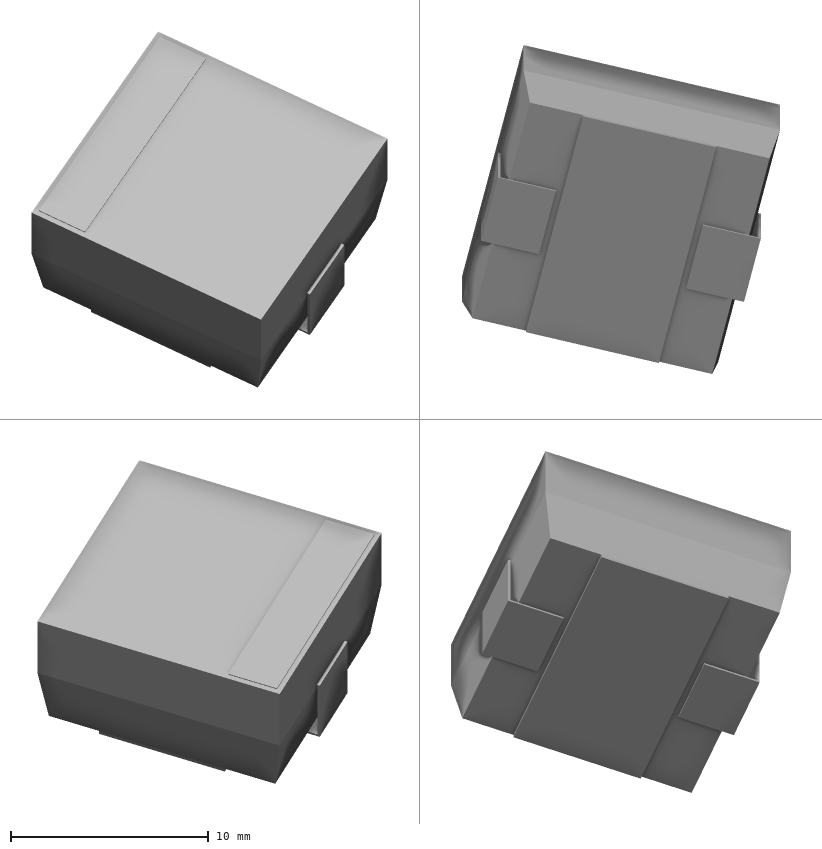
import cadquery as cq

overall_length = 13.69
body_width = 12.9
overall_height = 7.06

body_length = 13.36
marker_height = 0.05
body_top = overall_height - marker_height
parting_height = 3.41
foot_height = 0.2
taper_inset = 0.44
foot_length = 6.93
bottom_length = body_length - 2 * taper_inset
bottom_width = body_width - 2 * taper_inset

marker_length = 2.68
marker_width = 12.35
marker_edge_gap = 0.27

lead_thickness = 0.12
lead_width = 3.52
lead_height = 3.57
lead_end_x = 3.83


def make_body():
    upper_block = cq.Workplane("XY").workplane(offset=parting_height).rect(body_length, body_width)
    upper_block = upper_block.extrude(body_top - parting_height)
    lower_block = cq.Workplane("XY").workplane(offset=foot_height).rect(bottom_length, bottom_width)
    lower_block = lower_block.workplane(offset=parting_height - foot_height).rect(body_length, body_width)
    lower_block = lower_block.loft(ruled=True)
    foot = cq.Workplane("XY").rect(foot_length, bottom_width).extrude(foot_height)
    return upper_block.union(lower_block).union(foot)


def make_marker():
    marker_center_x = -body_length / 2 + marker_edge_gap + marker_length / 2
    marker = cq.Workplane("XY").workplane(offset=body_top).center(marker_center_x, 0)
    return marker.rect(marker_length, marker_width).extrude(marker_height)


def make_lead(side):
    """Bent strip: top tab against the body, vertical wall and bottom leg; side is -1 or +1 along X."""
    outer_x = side * overall_length / 2
    wall_inner_x = side * (overall_length / 2 - lead_thickness)
    body_face_x = side * body_length / 2
    leg_end_x = side * lead_end_x
    tab_underside = lead_height - lead_thickness
    outline = [
        (outer_x, 0),
        (leg_end_x, 0),
        (leg_end_x, lead_thickness),
        (wall_inner_x, lead_thickness),
        (wall_inner_x, tab_underside),
        (body_face_x, tab_underside),
        (body_face_x, lead_height),
        (outer_x, lead_height),
    ]
    return cq.Workplane("XZ").polyline(outline).close().extrude(lead_width / 2, both=True)


body = make_body()
marker = make_marker()
leads = [make_lead(side) for side in (-1, 1)]

result = cq.Compound.makeCompound([body.val(), marker.val(), *[lead.val() for lead in leads]])